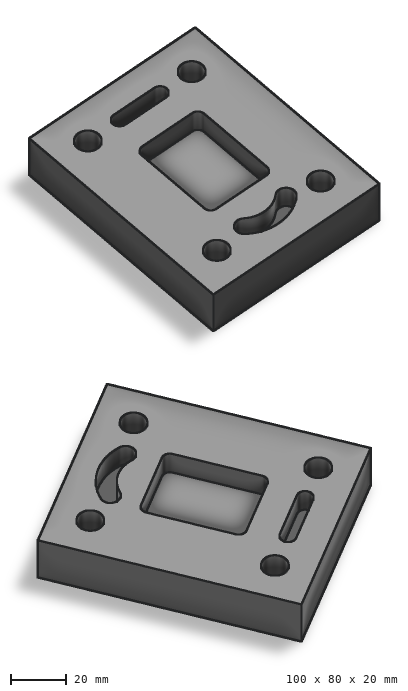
import cadquery as cq
import math

length = 100
width = 80
thickness = 20

hole_diameter = 10
hole_edge_distance = 15
hole_spacing_x = length - 2 * hole_edge_distance
hole_spacing_y = width - 2 * hole_edge_distance

recess_depth = thickness / 2
recess_floor = thickness - recess_depth

pocket_length = 40
pocket_width = 30
pocket_corner_radius = 3

slot_length = 25.8
slot_width = 6.2
slot_x = -hole_spacing_x / 2

arc_center_x = pocket_length / 2
arc_radius = 16.3
arc_slot_width = 7.6
arc_start_angle = -37
arc_end_angle = 42.7


def arc_point(radius, angle):
    """Point on a circle about the curved slot's centre; angle in degrees."""
    turn = math.radians(angle)
    return (arc_center_x + radius * math.cos(turn), radius * math.sin(turn))


def make_pocket():
    pocket = cq.Workplane("XY").workplane(offset=recess_floor)
    pocket = pocket.rect(pocket_length, pocket_width).extrude(recess_depth)
    return pocket.edges("|Z").fillet(pocket_corner_radius)


def make_straight_slot():
    slot = cq.Workplane("XY").workplane(offset=recess_floor).center(slot_x, 0)
    return slot.slot2D(slot_length, slot_width, 90).extrude(recess_depth)


def make_curved_slot():
    inner_radius = arc_radius - arc_slot_width / 2
    outer_radius = arc_radius + arc_slot_width / 2
    middle_angle = (arc_start_angle + arc_end_angle) / 2
    ends = []
    for angle, direction in ((arc_start_angle, -1), (arc_end_angle, 1)):
        x, y = arc_point(arc_radius, angle)
        tangent = math.radians(angle + direction * 90)
        reach = arc_slot_width / 2
        ends.append((x + reach * math.cos(tangent), y + reach * math.sin(tangent)))
    start_tip, end_tip = ends
    return (
        cq.Workplane("XY")
        .workplane(offset=recess_floor)
        .moveTo(*arc_point(outer_radius, arc_start_angle))
        .threePointArc(arc_point(outer_radius, middle_angle), arc_point(outer_radius, arc_end_angle))
        .threePointArc(end_tip, arc_point(inner_radius, arc_end_angle))
        .threePointArc(arc_point(inner_radius, middle_angle), arc_point(inner_radius, arc_start_angle))
        .threePointArc(start_tip, arc_point(outer_radius, arc_start_angle))
        .close()
        .extrude(recess_depth)
    )


plate = cq.Workplane("XY").box(length, width, thickness, centered=(True, True, False))
plate = (
    plate.faces(">Z")
    .workplane()
    .rarray(hole_spacing_x, hole_spacing_y, 2, 2)
    .hole(hole_diameter)
)

result = plate.cut(make_pocket()).cut(make_straight_slot()).cut(make_curved_slot())